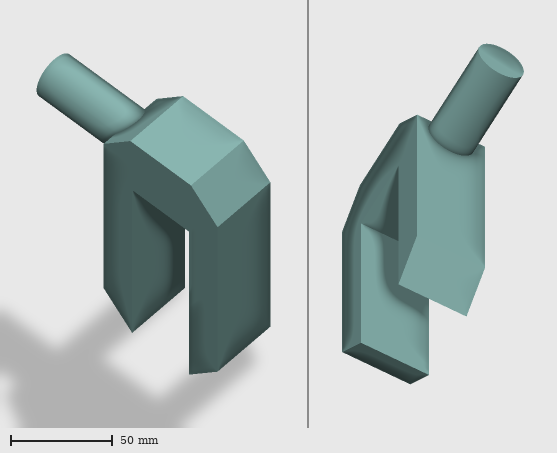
import cadquery as cq

height = 152.4
body_width = 76.2
thickness = 38.1
top_chamfer = 17.8

slot_width = 38.1
slot_depth = 114.3
leg_width = (body_width - slot_width) / 2
tip_bevel = leg_width

pin_diameter = 25.5
total_length = 127.0
pin_length = total_length - body_width
pin_root = leg_width / 2

half_width = body_width / 2
half_slot = slot_width / 2
pin_height = slot_depth + pin_diameter / 2


def make_fork():
    """Two-legged fork, centred on X and Y, with its leg tips at Z = 0."""
    right_half = [
        (half_slot, slot_depth),
        (half_slot, 0),
        (half_width, tip_bevel),
        (half_width, height - top_chamfer),
        (half_width - top_chamfer, height),
    ]
    left_half = [(-x, z) for x, z in reversed(right_half)]
    outline = cq.Workplane("XZ").polyline(right_half + left_half).close()
    return outline.extrude(thickness / 2, both=True)


def make_pin():
    """Round pin pointing to -X, rooted inside the solid head of the fork."""
    return (
        cq.Workplane("YZ", origin=(-half_width - pin_length, 0, pin_height))
        .circle(pin_diameter / 2)
        .extrude(pin_length + pin_root)
    )


result = make_fork().union(make_pin())